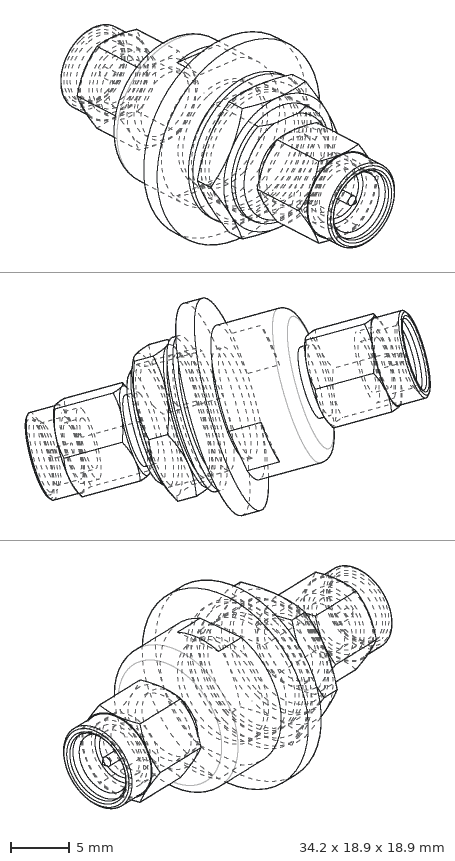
import cadquery as cq
import math

TOTAL_LENGTH = 34.25

SLEEVE_RADIUS = 3.9
SLEEVE_LENGTH = 2.67
SLEEVE_CHAMFER_LENGTH = 0.17
SLEEVE_CHAMFER_DEPTH = 0.2
COUPLING_HEX_FLATS = 7.98
COUPLING_HEX_LENGTH = 6.03
NECK_RADIUS = 3.2

HEX_HALF_ANGLE = 30.0
HEX_CHAMFER_ANGLE = 30.0

SOCKET_MOUTH_RADIUS = 3.4
SOCKET_COUNTERBORE_RADIUS = 3.2
SOCKET_MOUTH_CHAMFER = 0.17
SOCKET_COUNTERBORE_DEPTH = 0.58
SOCKET_BORE_RADIUS = 2.77
SOCKET_CONE_END = 0.92
SOCKET_BORE_END = 2.98
RELIEF_RADIUS = 3.2
RELIEF_END = 4.45
CORE_RADIUS = 2.25

PIN_RADIUS = 0.45
PIN_TIP_RADIUS = 0.15
PIN_TIP_X = 0.92
PIN_TIP_LENGTH = 0.4

HOUSING_START = 9.6
HOUSING_END = 16.2
HOUSING_RADIUS = 6.9
HOUSING_FILLET = 1.0
HOUSING_FLAT_START = 13.25
HOUSING_FLAT_HEIGHT = 6.47

UNDERCUT_RADIUS = 4.93
FLANGE_START = 16.78
FLANGE_THICKNESS = 1.7
FLANGE_END = FLANGE_START + FLANGE_THICKNESS
FLANGE_RADIUS = 9.45
SHANK_RADIUS = 5.45
SHANK_END = 24.55
SHANK_CHAMFER = 0.55
SHANK_FLAT_HEIGHT = 4.7

WASHER_START = 19.65
WASHER_THICKNESS = 0.55
WASHER_RADIUS = HOUSING_RADIUS
NUT_START = 20.72
NUT_LENGTH = 2.85
NUT_FLATS = 12.7


def cylinder(start, end, radius):
    """Round bar along X between two stations."""
    return cq.Workplane("YZ", origin=(start, 0, 0)).circle(radius).extrude(end - start)


def turned(points):
    """Revolve a closed (x, radius) outline about the X axis."""
    return cq.Workplane("XY").polyline(points).close().revolve(360, (0, 0, 0), (1, 0, 0))


def chamfered_hex(start, length, flats):
    """Hexagonal bar with flats facing +Z and -Z and both ends turned to a cone."""
    end = start + length
    flat_radius = flats / 2
    corner_radius = flat_radius / math.cos(math.radians(HEX_HALF_ANGLE))
    chamfer_length = (corner_radius - flat_radius) * math.tan(math.radians(HEX_CHAMFER_ANGLE))
    bar = cq.Workplane("YZ", origin=(start, 0, 0)).polygon(6, 2 * corner_radius).extrude(length)
    envelope = turned([
        (start, 0),
        (start, flat_radius),
        (start + chamfer_length, corner_radius),
        (end - chamfer_length, corner_radius),
        (end, flat_radius),
        (end, 0),
    ])
    return bar.intersect(envelope)


def flat_cutter(start, end, height):
    """Block that removes everything above a height between two stations."""
    width = 2 * HOUSING_RADIUS
    base = cq.Workplane("XY", origin=(start, 0, height))
    return base.box(end - start, width, HOUSING_RADIUS, centered=(False, True, False))


def make_socket():
    """Hollow of a coupling end, leaving the core and the contact pin standing in it."""
    hollow = turned([
        (0, 0),
        (0, SOCKET_MOUTH_RADIUS),
        (SOCKET_MOUTH_CHAMFER, SOCKET_COUNTERBORE_RADIUS),
        (SOCKET_COUNTERBORE_DEPTH, SOCKET_COUNTERBORE_RADIUS),
        (SOCKET_CONE_END, SOCKET_BORE_RADIUS),
        (SOCKET_BORE_END, SOCKET_BORE_RADIUS),
        (SOCKET_BORE_END, RELIEF_RADIUS),
        (RELIEF_END, RELIEF_RADIUS),
        (RELIEF_END, 0),
    ])
    core_and_pin = turned([
        (PIN_TIP_X, 0),
        (PIN_TIP_X, PIN_TIP_RADIUS),
        (PIN_TIP_X + PIN_TIP_LENGTH, PIN_RADIUS),
        (SOCKET_BORE_END, PIN_RADIUS),
        (SOCKET_BORE_END, CORE_RADIUS),
        (RELIEF_END, CORE_RADIUS),
        (RELIEF_END, 0),
    ])
    return hollow.cut(core_and_pin)


def make_coupling_end(neck_end):
    """Coupling end opening toward -X, with a neck reaching back to the given station."""
    sleeve = turned([
        (0, 0),
        (0, SLEEVE_RADIUS - SLEEVE_CHAMFER_DEPTH),
        (SLEEVE_CHAMFER_LENGTH, SLEEVE_RADIUS),
        (SLEEVE_LENGTH, SLEEVE_RADIUS),
        (SLEEVE_LENGTH, 0),
    ])
    hexagon = chamfered_hex(SLEEVE_LENGTH, COUPLING_HEX_LENGTH, COUPLING_HEX_FLATS)
    neck = cylinder(SLEEVE_LENGTH + COUPLING_HEX_LENGTH, neck_end, NECK_RADIUS)
    return sleeve.union(hexagon).union(neck).cut(make_socket())


def make_housing():
    """Drum with a rounded front edge and flats on its top and bottom."""
    drum = cylinder(HOUSING_START, HOUSING_END, HOUSING_RADIUS)
    drum = drum.faces("<X").edges().fillet(HOUSING_FILLET)
    top_cutter = flat_cutter(HOUSING_FLAT_START, HOUSING_END, HOUSING_FLAT_HEIGHT)
    return drum.cut(top_cutter).cut(top_cutter.mirror("XY"))


def make_shank():
    """Threaded shank with a chamfered end and one flat on top."""
    shank = cylinder(FLANGE_END, SHANK_END, SHANK_RADIUS).faces(">X").chamfer(SHANK_CHAMFER)
    return shank.cut(flat_cutter(FLANGE_END, SHANK_END, SHANK_FLAT_HEIGHT))


def make_connector():
    """Main body: both coupling ends, housing, undercut, flange and shank."""
    left_end = make_coupling_end(HOUSING_START)
    right_end = make_coupling_end(TOTAL_LENGTH - SHANK_END).mirror("YZ", (TOTAL_LENGTH / 2, 0, 0))
    core = make_housing()
    core = core.union(cylinder(HOUSING_END, FLANGE_START, UNDERCUT_RADIUS))
    core = core.union(cylinder(FLANGE_START, FLANGE_END, FLANGE_RADIUS))
    core = core.union(make_shank())
    return core.union(left_end).union(right_end)


def make_washer():
    """Flat ring around the shank."""
    end = WASHER_START + WASHER_THICKNESS
    return cylinder(WASHER_START, end, WASHER_RADIUS).cut(cylinder(WASHER_START, end, SHANK_RADIUS))


def make_nut():
    """Hexagonal panel nut around the shank."""
    bore = cylinder(NUT_START, NUT_START + NUT_LENGTH, SHANK_RADIUS)
    return chamfered_hex(NUT_START, NUT_LENGTH, NUT_FLATS).cut(bore)


connector = make_connector()
washer = make_washer()
nut = make_nut()

result = cq.Compound.makeCompound([connector.val(), washer.val(), nut.val()])